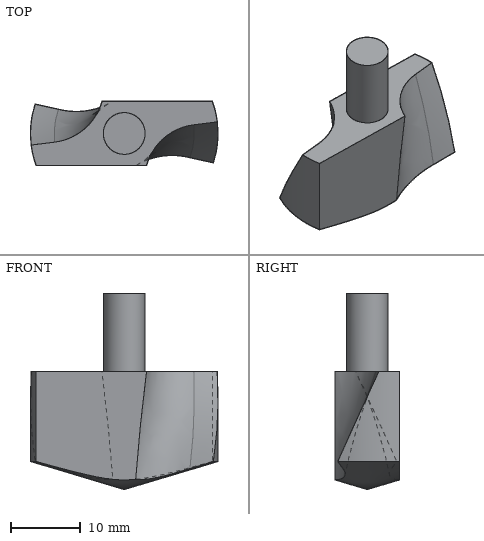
import cadquery as cq
import math

total_height = 28.2
shank_diameter = 6.0
body_top = 16.98
body_diameter = 27.0
body_thickness = 9.28
cone_height = 4.03

wall_angle = 7.1
wall_inner_radius = 10.07
root_radius = 8.07
flute_twist = 33.3

body_radius = body_diameter / 2
flute_reach = 1.4 * body_radius


def make_body():
    """Round body with a conical point, flattened on both Y sides."""
    half_section = [
        (0, 0),
        (body_radius, cone_height),
        (body_radius, body_top),
        (0, body_top),
    ]
    turned = cq.Workplane("XZ").polyline(half_section).close().revolve(360, (0, 0), (0, 1))
    slab = cq.Workplane("XY").box(body_diameter, body_thickness, body_top, centered=(True, True, False))
    return turned.intersect(slab)


def make_flute():
    """Helical flute cutter, drawn with its wall on +X and turned into place."""
    root_left = wall_inner_radius - root_radius
    root_middle = (
        wall_inner_radius - root_radius * math.sin(math.pi / 4),
        -root_radius * (1 - math.cos(math.pi / 4)),
    )
    section = (
        cq.Workplane("XY")
        .moveTo(flute_reach, 0)
        .lineTo(wall_inner_radius, 0)
        .threePointArc(root_middle, (root_left, -root_radius))
        .lineTo(root_left, -body_radius)
        .lineTo(flute_reach, -body_radius)
        .close()
    )
    cutter = section.twistExtrude(body_top, flute_twist)
    return cutter.rotate((0, 0, 0), (0, 0, 1), wall_angle - flute_twist)


def make_shank():
    """Plain cylindrical shank standing on the body."""
    return (
        cq.Workplane("XY")
        .workplane(offset=body_top)
        .circle(shank_diameter / 2)
        .extrude(total_height - body_top)
    )


result = make_body()
flute = make_flute()
for turn in (0, 180):
    result = result.cut(flute.rotate((0, 0, 0), (0, 0, 1), turn))
result = result.union(make_shank())